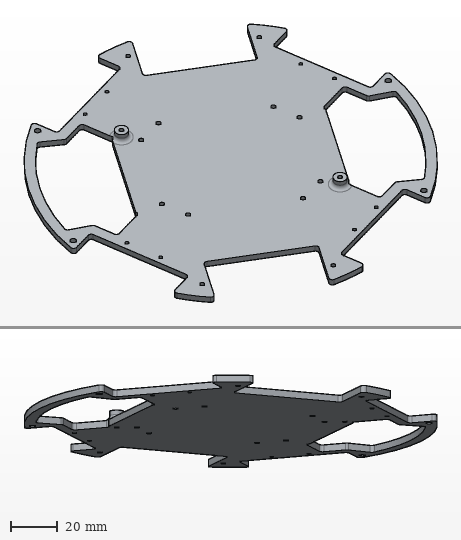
import cadquery as cq
import math

size = 167.7
plate_thickness = 3.0
corner_radius = 1.5

notch_half_width = 25.0
axis_notch_floor = 71.6
diagonal_notch_floor = 61.0

rim_radius = corner_radius + math.hypot(notch_half_width + corner_radius, size / 2 - corner_radius)

rim_band_width = 4.9
pocket_near = 14.6
pocket_far = 66.4
pocket_diagonal_sum = 65.7
pocket_shoulder = 26.7
pocket_tip = 34.7
pocket_ledge = 1.6
pocket_arc_radius = rim_radius - rim_band_width

boss_height = 4.0
boss_diameter = 6.0
boss_fillet = 2.0
boss_hole_diameter = 2.0
boss_center = (47.3, 12.5)

rim_hole_diameter = 2.7
rim_hole = (28.5, 79.5)
tab_hole_diameter = 2.0
tab_hole = (-32.7, 73.1)
edge_hole_diameter = 1.6
edge_hole = (8.5, 68.2)
inner_hole_diameter = 2.2
inner_hole_near = (-3.5, 38.9)
inner_hole_far = (9.5, 39.2)


def mirrored(point):
    """Reflect a point across the line y = x."""
    return (point[1], point[0])


def opposite(point):
    """Turn a point half a turn around the plate centre."""
    return (-point[0], -point[1])


def with_opposites(points):
    return points + [opposite(point) for point in points]


def notch(floor, angle):
    """Rounded notch open to the rim, its floor at a given distance from the centre."""
    length = size - floor
    return (
        cq.Workplane("XY")
        .center(floor + length / 2, 0)
        .rect(length, 2 * notch_half_width)
        .extrude(plate_thickness)
        .rotate((0, 0, 0), (0, 0, 1), angle)
    )


def make_pocket(height):
    """Closed pocket volume in the +X +Y quarter, symmetric about y = x."""
    tip = (pocket_tip, math.sqrt(pocket_arc_radius**2 - pocket_tip**2))
    arc_middle = pocket_arc_radius / math.sqrt(2)
    ledge_end = pocket_near + pocket_ledge
    diagonal_end = (ledge_end, pocket_diagonal_sum - ledge_end)
    ledge_corner = (pocket_near, diagonal_end[1])
    sharp_pocket = (
        cq.Workplane("XY")
        .moveTo(*diagonal_end)
        .lineTo(*ledge_corner)
        .lineTo(pocket_near, pocket_far)
        .lineTo(pocket_shoulder, pocket_far)
        .lineTo(*tip)
        .threePointArc((arc_middle, arc_middle), mirrored(tip))
        .lineTo(pocket_far, pocket_shoulder)
        .lineTo(pocket_far, pocket_near)
        .lineTo(*mirrored(ledge_corner))
        .lineTo(*mirrored(diagonal_end))
        .close()
        .extrude(height)
    )
    return sharp_pocket.edges("|Z").edges("not >>(1,1,0)[1]").fillet(corner_radius)


def make_plate():
    plate = cq.Workplane("XY").circle(rim_radius).extrude(plate_thickness)
    for angle in (0, 90, 180, 270):
        plate = plate.cut(notch(axis_notch_floor, angle))
    for angle in (135, 315):
        plate = plate.cut(notch(diagonal_notch_floor, angle))
    plate = plate.edges("|Z").fillet(corner_radius)

    pocket = make_pocket(plate_thickness)
    for angle in (0, 180):
        plate = plate.cut(pocket.rotate((0, 0, 0), (0, 0, 1), angle))
    return plate


def make_boss():
    """Round boss on the plate's upper face, flaring into it with a concave fillet."""
    radius = boss_diameter / 2
    flare_radius = radius + boss_fillet
    bend = boss_fillet * (1 - math.sqrt(0.5))
    return (
        cq.Workplane("XZ")
        .lineTo(flare_radius, 0)
        .threePointArc((radius + bend, bend), (radius, boss_fillet))
        .lineTo(radius, boss_height)
        .lineTo(0, boss_height)
        .close()
        .revolve(360, (0, 0, 0), (0, 1, 0))
        .translate((*boss_center, plate_thickness))
    )


def drill(part, diameter, points):
    through = plate_thickness + boss_height
    return part.cut(cq.Workplane("XY").pushPoints(points).circle(diameter / 2).extrude(through))


def drill_holes(part):
    edge_hole_across = (-edge_hole[0], edge_hole[1])
    edge_holes = [edge_hole, edge_hole_across]
    holes = (
        (rim_hole_diameter, [rim_hole, mirrored(rim_hole)]),
        (tab_hole_diameter, [tab_hole, opposite(mirrored(tab_hole))]),
        (edge_hole_diameter, edge_holes + [mirrored(hole) for hole in edge_holes]),
        (inner_hole_diameter, [inner_hole_near, mirrored(inner_hole_near)]),
        (inner_hole_diameter, [inner_hole_far, mirrored(inner_hole_far)]),
        (boss_hole_diameter, [boss_center]),
    )
    for diameter, points in holes:
        part = drill(part, diameter, with_opposites(points))
    return part


result = make_plate()

boss = make_boss().cut(make_pocket(plate_thickness + boss_height))
for angle in (0, 180):
    result = result.union(boss.rotate((0, 0, 0), (0, 0, 1), angle))

result = drill_holes(result)